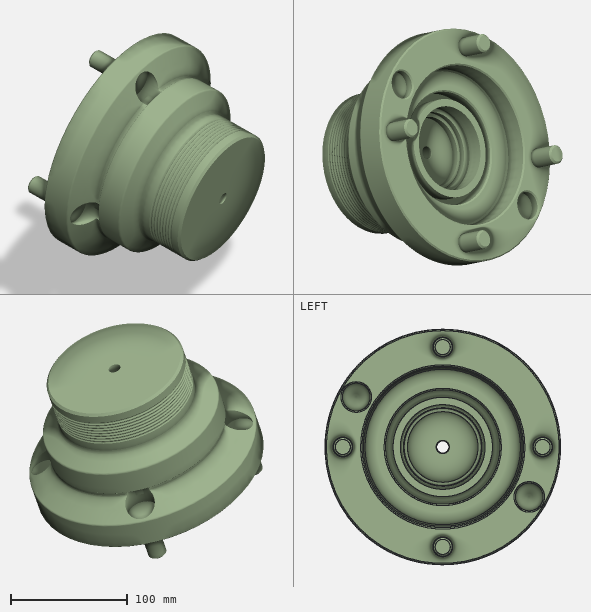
import cadquery as cq
import math


flange_radius = 101.0
flange_front_x = 23.8
flange_back_x = 65.6
edge_chamfer = 1.2
flange_cone_x = 49.0
flange_cone_fillet = 2.0
flange_neck_radius = 78.0
flange_neck_fillet = 1.5
cone_angle = 60.0

recess_mouth_radius = 69.3
recess_taper_end_x = 38.4
recess_end_radius = 68.0
recess_floor_radius = 66.7
web_front_x = 43.6
web_back_x = 57.2
web_bore_radius = 49.0

hub_back_x = 140.0
spigot_radius = 73.3
hub_radius = 78.4
hub_edge_chamfer = 0.5
hub_cone_x = 87.9
hub_cone_fillet = 2.2
hub_neck_radius = 61.0
hub_neck_fillet = 3.2
hub_end_chamfer = 2.0

thread_start_x = 107.5
thread_pitch = 3.0
thread_count = 8
thread_depth = 0.8
thread_flat = 0.6
thread_flank = (thread_pitch - 2 * thread_flat) / 2

hub_counterbore_radius = 37.4
hub_counterbore_fillet = 0.8
hub_counterbore_end_x = 61.2
center_hole_radius = 5.3

ring_outer_radius = 42.6
ring_bore_radius = 36.4

cup_radius = 33.7
cup_front_x = 65.6
cup_floor_x = 71.7
cup_back_x = 75.8
cup_rim_chamfer = 0.6
cup_bore_radius = 30.3
cup_hole_chamfer = 0.5

pin_count = 4
pin_circle_radius = 85.6
pin_radius = 8.0
pin_chamfer = 1.6
pin_hole_chamfer = 0.5
pocket_radius = 13.0
pocket_floor_x = 48.5
pin_angles = [i * 360.0 / pin_count for i in range(pin_count)]

blind_hole_angles = (30.0, 210.0)
blind_hole_radius = 12.0
blind_hole_depth = 8.0
drill_tip_angle = 118.0


def turned(points):
    """Solid of revolution about the X axis from (x, radius) points."""
    return cq.Workplane("XZ").polyline(points).close().revolve(360, (0, 0, 0), (1, 0, 0))


def cylinder(start_x, end_x, radius):
    """Solid cylinder along the X axis."""
    return cq.Workplane("YZ", origin=(start_x, 0, 0)).circle(radius).extrude(end_x - start_x)


def on_pin_circle(body, angle):
    """The body moved from the X axis to the pin circle, at an angle from +Y toward +Z."""
    turn = math.radians(angle)
    return body.translate((0, pin_circle_radius * math.cos(turn), pin_circle_radius * math.sin(turn)))


def cone_end_x(start_x, start_radius, end_radius):
    """Where an outer cone reaches its end radius."""
    return start_x + (start_radius - end_radius) / math.tan(math.radians(cone_angle))


def round_edge_at(body, x, fillet_radius):
    """Fillet the circular edge of a body that lies in the plane at x."""
    reach = flange_radius + 2
    slack = 0.1
    plane_box = cq.selectors.BoxSelector(
        (x - slack, -reach, -reach), (x + slack, reach, reach), boundingbox=True
    )
    return body.edges(plane_box).fillet(fillet_radius)


def chamfered_hole(start_x, end_x, radius, chamfer):
    """Cutter for a hole along the X axis, chamfered at its front end."""
    return turned([
        (start_x, 0),
        (start_x, radius + chamfer),
        (start_x + chamfer, radius),
        (end_x, radius),
        (end_x, 0),
    ])


def make_flange_blank():
    neck_x = cone_end_x(flange_cone_x, flange_radius, flange_neck_radius)
    blank = turned([
        (flange_front_x, 0),
        (flange_front_x, flange_radius - edge_chamfer),
        (flange_front_x + edge_chamfer, flange_radius),
        (flange_cone_x, flange_radius),
        (neck_x, flange_neck_radius),
        (flange_back_x, flange_neck_radius),
        (flange_back_x, 0),
    ])
    blank = round_edge_at(blank, flange_cone_x, flange_cone_fillet)
    return round_edge_at(blank, neck_x, flange_neck_fillet)


def make_flange_bore():
    """Cutter for the front recess, the web bore and the seat of the hub spigot."""
    floor_chamfer = recess_end_radius - recess_floor_radius
    return turned([
        (flange_front_x, 0),
        (flange_front_x, recess_mouth_radius + edge_chamfer),
        (flange_front_x + edge_chamfer, recess_mouth_radius),
        (recess_taper_end_x, recess_end_radius),
        (web_front_x - floor_chamfer, recess_end_radius),
        (web_front_x, recess_floor_radius),
        (web_front_x, web_bore_radius + edge_chamfer),
        (web_front_x + edge_chamfer, web_bore_radius),
        (web_back_x, web_bore_radius),
        (web_back_x, spigot_radius),
        (flange_back_x, spigot_radius),
        (flange_back_x, 0),
    ])


def make_blind_hole():
    """Cutter for a drilled hole with a chamfered mouth and a conical bottom."""
    bottom_x = flange_front_x + blind_hole_depth
    tip_length = blind_hole_radius / math.tan(math.radians(drill_tip_angle / 2))
    tip = turned([(bottom_x, 0), (bottom_x, blind_hole_radius), (bottom_x + tip_length, 0)])
    return chamfered_hole(flange_front_x, bottom_x, blind_hole_radius, edge_chamfer).union(tip)


def make_flange():
    flange = make_flange_blank().cut(make_flange_bore())
    pin_hole = chamfered_hole(flange_front_x, pocket_floor_x, pin_radius, pin_hole_chamfer)
    pocket = cylinder(pocket_floor_x, flange_back_x, pocket_radius)
    for angle in pin_angles:
        flange = flange.cut(on_pin_circle(pin_hole, angle))
        flange = flange.cut(on_pin_circle(pocket, angle))
    for angle in blind_hole_angles:
        flange = flange.cut(on_pin_circle(make_blind_hole(), angle))
    return flange


def make_hub_blank():
    neck_x = cone_end_x(hub_cone_x, hub_radius, hub_neck_radius)
    blank = turned([
        (web_back_x, 0),
        (web_back_x, spigot_radius),
        (flange_back_x, spigot_radius),
        (flange_back_x, hub_radius - hub_edge_chamfer),
        (flange_back_x + hub_edge_chamfer, hub_radius),
        (hub_cone_x, hub_radius),
        (neck_x, hub_neck_radius),
        (hub_back_x - hub_end_chamfer, hub_neck_radius),
        (hub_back_x, hub_neck_radius - hub_end_chamfer),
        (hub_back_x, 0),
    ])
    blank = round_edge_at(blank, hub_cone_x, hub_cone_fillet)
    return round_edge_at(blank, neck_x, hub_neck_fillet)


def make_thread_groove(start_x):
    """Cutter for one ring groove with sloping flanks and a flat root."""
    root_radius = hub_neck_radius - thread_depth
    return turned([
        (start_x, hub_neck_radius),
        (start_x + thread_flank, root_radius),
        (start_x + thread_flank + thread_flat, root_radius),
        (start_x + 2 * thread_flank + thread_flat, hub_neck_radius),
    ])


def make_hub():
    hub = make_hub_blank()
    counterbore = cylinder(web_back_x, hub_counterbore_end_x, hub_counterbore_radius)
    hub = hub.cut(counterbore.faces(">X").edges().fillet(hub_counterbore_fillet))
    hub = hub.cut(cylinder(hub_counterbore_end_x, cup_back_x, cup_radius))
    hub = hub.cut(cylinder(cup_back_x, hub_back_x, center_hole_radius))
    for i in range(thread_count):
        hub = hub.cut(make_thread_groove(thread_start_x + i * thread_pitch))
    return hub


def make_ring():
    bore = cylinder(web_front_x, web_back_x, ring_bore_radius)
    return cylinder(web_front_x, web_back_x, ring_outer_radius).cut(bore)


def make_cup():
    cup = cylinder(cup_front_x, cup_back_x, cup_radius).faces("<X").edges().chamfer(cup_rim_chamfer)
    cup = cup.cut(cylinder(cup_front_x, cup_floor_x, cup_bore_radius))
    return cup.cut(chamfered_hole(cup_floor_x, cup_back_x, center_hole_radius, cup_hole_chamfer))


def make_pin(angle):
    pin = cylinder(0, pocket_floor_x, pin_radius).faces("<X").edges().chamfer(pin_chamfer)
    return on_pin_circle(pin, angle)


flange = make_flange()
hub = make_hub()
ring = make_ring()
cup = make_cup()
pins = [make_pin(angle) for angle in pin_angles]

result = cq.Compound.makeCompound([
    flange.val(),
    hub.val(),
    ring.val(),
    cup.val(),
    *[pin.val() for pin in pins],
])